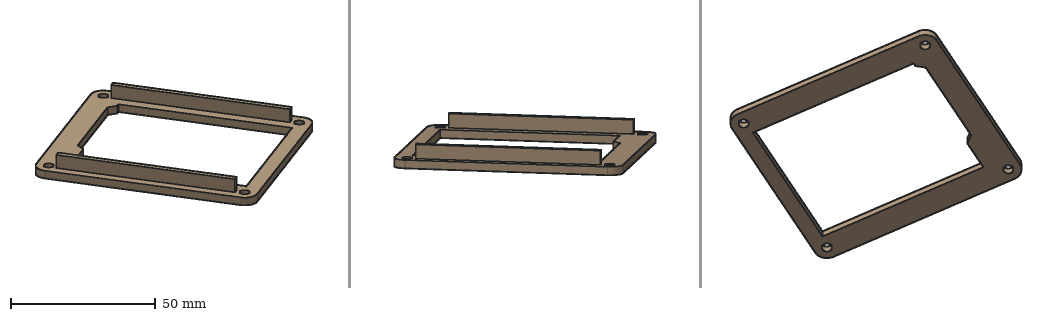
import cadquery as cq

length = 80.5
width = 70.0
total_height = 8.0
plate_thickness = 3.0
corner_radius = 4.6

hole_diameter = 3.5
hole_spacing_x = length - 2 * corner_radius
hole_spacing_y = width - 2 * corner_radius

rail_length = 65.05
rail_width = 2.1
rail_edge_margin = 3.4
rail_height = total_height - plate_thickness
rail_offset_y = width / 2 - rail_edge_margin - rail_width / 2

border_left = 11.75
border_right = 5.55
border_side = 9.6
recess_depth = 2.8
recess_slope_width = 2.25
recess_front_margin = 21.3
recess_back_margin = 10.9

opening_left = -length / 2 + border_left
opening_right = length / 2 - border_right
opening_back = width / 2 - border_side
opening_front = -opening_back
recess_left = opening_left - recess_depth
recess_front = -width / 2 + recess_front_margin
recess_back = width / 2 - recess_back_margin


def make_plate():
    return (
        cq.Workplane("XY")
        .box(length, width, plate_thickness, centered=(True, True, False))
        .edges("|Z")
        .fillet(corner_radius)
        .faces(">Z")
        .workplane()
        .rect(hole_spacing_x, hole_spacing_y, forConstruction=True)
        .vertices()
        .hole(hole_diameter)
    )


def make_opening():
    outline = [
        (opening_left, opening_front),
        (opening_right, opening_front),
        (opening_right, opening_back),
        (opening_left, opening_back),
        (opening_left, recess_back),
        (recess_left, recess_back - recess_slope_width),
        (recess_left, recess_front + recess_slope_width),
        (opening_left, recess_front),
    ]
    return cq.Workplane("XY").polyline(outline).close().extrude(plate_thickness)


def make_rails():
    return (
        cq.Workplane("XY")
        .workplane(offset=plate_thickness)
        .pushPoints([(0, -rail_offset_y), (0, rail_offset_y)])
        .rect(rail_length, rail_width)
        .extrude(rail_height)
    )


result = make_plate().cut(make_opening()).union(make_rails())